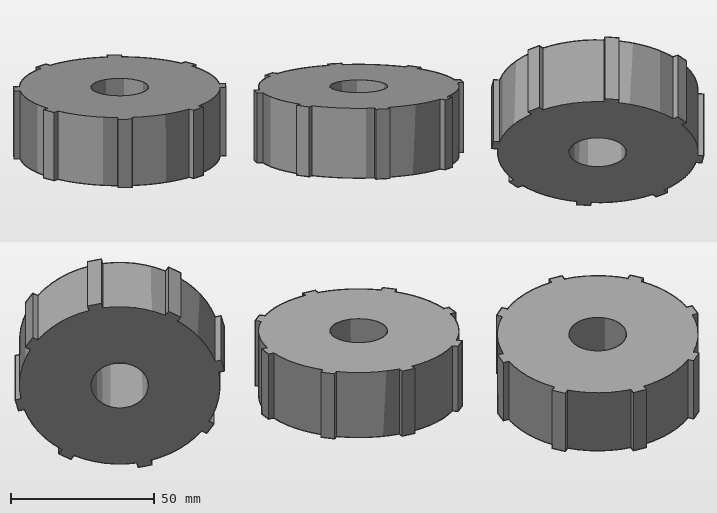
import cadquery as cq

overall_width = 74.0
body_diameter = 70.0
bore_diameter = 20.0
height = 25.0
tooth_count = 8
tooth_width = 5.0

body = cq.Workplane("XY").circle(body_diameter / 2).extrude(height)


def tooth_pair(angle):
    """Full-width bar whose two ends form a pair of opposite teeth."""
    bar = cq.Workplane("XY").rect(overall_width, tooth_width).extrude(height)
    return bar.rotate((0, 0, 0), (0, 0, 1), angle)


for index in range(tooth_count // 2):
    body = body.union(tooth_pair(index * 360 / tooth_count))

bore = cq.Workplane("XY").circle(bore_diameter / 2).extrude(height)
result = body.cut(bore).clean()